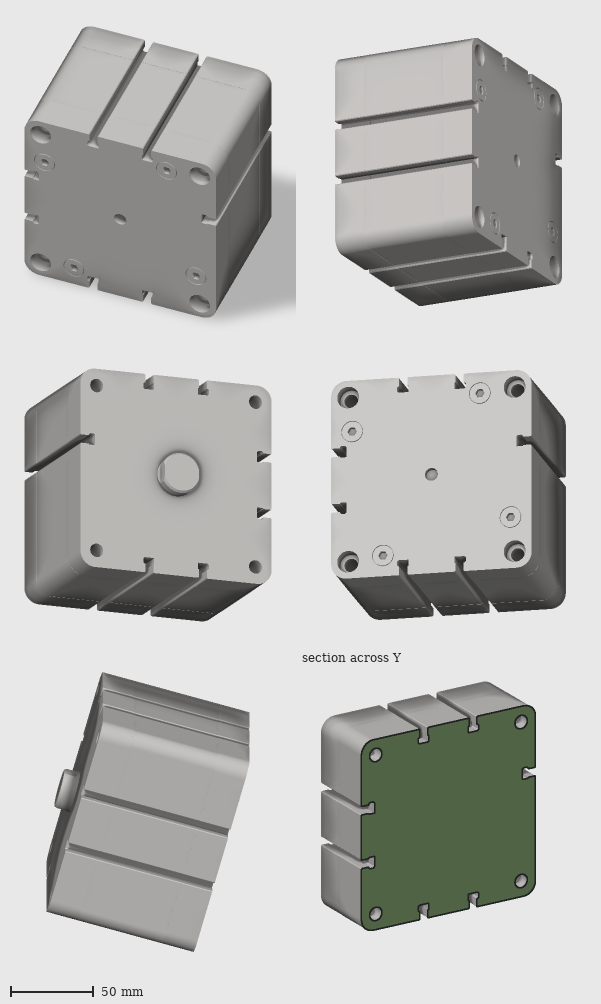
import cadquery as cq
import math

width = 124.0
total_length = 101.5
rod_projection = 9.5
body_length = total_length - rod_projection
cap_length = 19.5
barrel_length = body_length - 2 * cap_length
cap_corner_radius = 9.5
barrel_corner_radius = 8.7
barrel_step = 0.15
barrel_width = width - 2 * barrel_step

front_y = -total_length / 2
rear_y = front_y + body_length

slot_offset = 17.4
slot_mouth_width = 5.2
slot_depth = 9.4
slot_lip_depth = 5.4
slot_lead_in = 0.5
slot_outer_undercut = 1.3
slot_inner_undercut = 0.6
slot_undercut_chamfer = 0.8

fixing_spacing = 103.0
fixing_bore_diameter = 8.38
fixing_counterbore_diameter = 13.5
fixing_counterbore_depth = 8.5

screw_near = 30.0
screw_far = 49.0
screw_recess_diameter = 13.5
screw_head_diameter = 12.5
screw_recess_depth = 1.0
hex_across_flats = 5.0
hex_depth = 3.0

center_hole_diameter = 8.0
center_hole_depth = 4.0

rod_diameter = 25.0
rod_chamfer_length = 1.5
rod_chamfer_inset = 1.1
rod_flats_width = 22.0
rod_flats_length = 7.1


def front_plane(y=front_y):
    """Workplane facing -Y with local x along +X and local y along +Z."""
    return cq.Workplane("XZ", origin=(0, y, 0))


def make_slot(start_y, length, face_height, angle, side):
    """Slot cutter below a face; angle turns it from the top face, side is -1 or +1."""
    half_mouth = slot_mouth_width / 2
    outer = half_mouth + slot_outer_undercut
    inner = -half_mouth - slot_inner_undercut
    lip = face_height - slot_lip_depth
    floor = face_height - slot_depth
    profile = [
        (half_mouth + slot_lead_in, face_height),
        (half_mouth, face_height - slot_lead_in),
        (half_mouth, lip),
        (outer - slot_undercut_chamfer, lip),
        (outer, lip - slot_undercut_chamfer),
        (outer, floor + slot_undercut_chamfer),
        (outer - slot_undercut_chamfer, floor),
        (inner, floor),
        (inner, lip),
        (-half_mouth, lip),
        (-half_mouth, face_height - slot_lead_in),
        (-half_mouth - slot_lead_in, face_height),
    ]
    points = [(side * (slot_offset + x), z) for x, z in profile]
    slot = front_plane(start_y).polyline(points).close().extrude(-length)
    return slot.rotate((0, 0, 0), (0, 1, 0), angle)


def make_section(start_y, length, section_width, corner_radius):
    """Slotted square block with rounded long edges, running from start_y toward +Y."""
    section = (
        front_plane(start_y)
        .rect(section_width, section_width)
        .extrude(-length)
        .edges("|Y")
        .fillet(corner_radius)
    )
    top, right, bottom, left = 0, 90, 180, 270
    slot_layout = ((top, (-1, 1)), (right, (-1,)), (bottom, (-1, 1)), (left, (-1, 1)))
    for angle, sides in slot_layout:
        for side in sides:
            section = section.cut(make_slot(start_y, length, section_width / 2, angle, side))
    return section


def make_body():
    front_cap = make_section(front_y, cap_length, width, cap_corner_radius)
    barrel = make_section(front_y + cap_length, barrel_length, barrel_width, barrel_corner_radius)
    rear_cap = make_section(rear_y - cap_length, cap_length, width, cap_corner_radius)
    return front_cap.union(barrel).union(rear_cap)


def cut_fixing_holes(body):
    def corners():
        return front_plane().rect(fixing_spacing, fixing_spacing, forConstruction=True).vertices()

    bores = corners().circle(fixing_bore_diameter / 2).extrude(-body_length)
    counterbores = corners().circle(fixing_counterbore_diameter / 2).extrude(-fixing_counterbore_depth)
    return body.cut(bores).cut(counterbores)


def cut_screw_details(body):
    centers = [
        (screw_near, screw_far),
        (screw_far, -screw_near),
        (-screw_near, -screw_far),
        (-screw_far, screw_near),
    ]
    hex_across_corners = hex_across_flats / math.cos(math.pi / 6)
    gaps = (
        front_plane()
        .pushPoints(centers)
        .circle(screw_recess_diameter / 2)
        .circle(screw_head_diameter / 2)
        .extrude(-screw_recess_depth)
    )
    sockets = front_plane().pushPoints(centers).polygon(6, hex_across_corners).extrude(-hex_depth)
    return body.cut(gaps).cut(sockets)


def cut_center_hole(body):
    return body.cut(front_plane().circle(center_hole_diameter / 2).extrude(-center_hole_depth))


def make_rod():
    rod = front_plane(rear_y).circle(rod_diameter / 2).extrude(-rod_projection)
    return rod.faces(">Y").chamfer(rod_chamfer_length, rod_chamfer_inset)


def cut_rod_flats(body):
    """Two spanner flats facing -X and +X, each ending in a 45 degree run-out."""
    rod_radius = rod_diameter / 2
    half_flats = rod_flats_width / 2
    end_y = rear_y + rod_projection
    flat_end_y = end_y - rod_flats_length
    run_out = rod_radius - half_flats
    for side in (-1, 1):
        flat = (
            cq.Workplane("XY")
            .moveTo(side * half_flats, end_y)
            .lineTo(side * half_flats, flat_end_y)
            .lineTo(side * rod_radius, flat_end_y - run_out)
            .lineTo(side * rod_radius, end_y)
            .close()
            .extrude(rod_radius, both=True)
        )
        body = body.cut(flat)
    return body


body = make_body()
body = cut_fixing_holes(body)
body = cut_screw_details(body)
body = cut_center_hole(body)
result = cut_rod_flats(body.union(make_rod()))